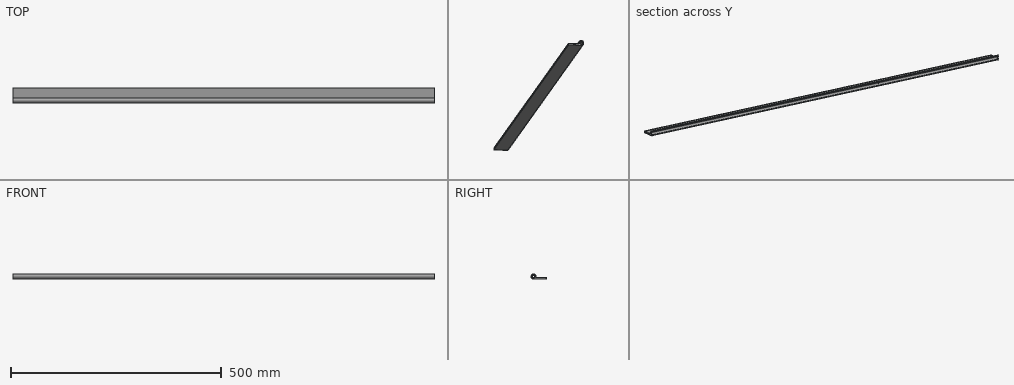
import cadquery as cq

length = 1000.0
width = 36.5
height = 12.0

flange_thickness = 4.0
bore_diameter = 6.0

bead_radius = height / 2
front_y = -width / 2
back_y = width / 2
bead_center_y = front_y + bead_radius
bead_back_y = front_y + height


def section_plane():
    """Sketch plane at the -X end, with local axes along Y and Z."""
    return cq.Workplane("YZ", origin=(-length / 2, 0, 0))


def make_strip():
    """Constant-section strip: a flat flange with a round bead along its -Y edge.

    The bead is round over three quarters of a turn. On the flange side it drops
    straight down from its widest point to the flange.
    """
    return (
        section_plane()
        .moveTo(bead_center_y, 0)
        .lineTo(back_y, 0)
        .lineTo(back_y, flange_thickness)
        .lineTo(bead_back_y, flange_thickness)
        .lineTo(bead_back_y, bead_radius)
        .tangentArcPoint((bead_center_y, 0), relative=False)
        .close()
        .extrude(length)
    )


def make_bore():
    """Round hole along the bead axis, through the full length."""
    return section_plane().center(bead_center_y, bead_radius).circle(bore_diameter / 2).extrude(length)


result = make_strip().cut(make_bore())